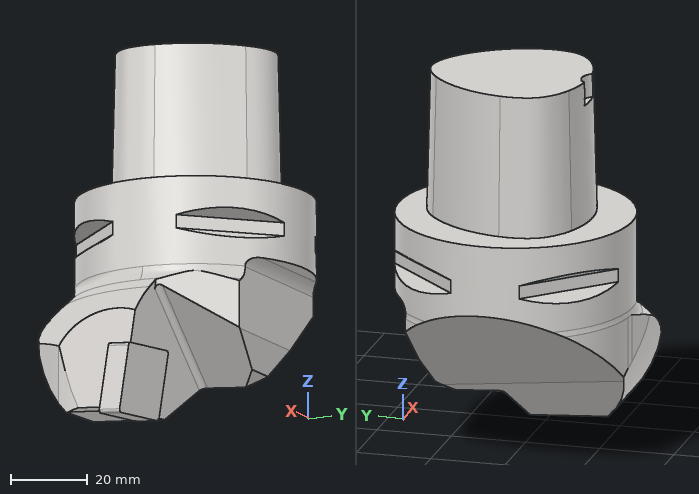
import cadquery as cq
import math


shank_height = 38.0
lobe_mean_radius = 22.1
lobe_height = 1.4
flank_half_angle = 23
flank_centres = (30, 150, 270)
curve_steps = 6
shank_taper = 0.9
key_width = 7.9
key_height = 6.3
key_floor_y = -17.8
key_edge_y = -19.7
key_mouth_y = -22.7

collar_radius = 63.0 / 2
collar_depth = 23.4
notch_z = -12.0
notch_floor_height = 3.5
notch_mouth_height = 7.8
notch_floor_distance = 27.8
notch_angles = (45, 135, 225, 315)

underside_start_z = -19.1
underside_slope = -0.865
facet_rear = (4.5, 21.0, -50.3)
facet_front = (-4.7, -30.3, -42.2)
facet_tip = (20.9, -19.3, -60.6)
back_flat_y = 24.2
back_step_z = -20.7
back_fillet = 2.9
back_draft_start_z = -40.6
back_draft_end = (22.8, -49.4)
back_chamfer_end = (18.6, -52.8)

head_bottom_z = -72.1
neck_radius = 31.6
neck_fillet_middle = (31.7, -25.3)
flare_start = (32.9, -27.2)
flare_end = (35.8, -30.0)
crown_middle = (41.5, -37.1)
crown_end = (44.7, -44.3)
wall_tangent_x = -4.2
wall_blend_end = (-1.4, -31.6)
wall_front = (11.2, -32.9)
wall_front_middle = (20.6, -32.8)
wall_front_end = (29.0, -31.3)
wall_corner = (32.1, -29.5)
wall_side_middle = (37.6, -23.5)
wall_side_end = (42.6, -15.1)
wall_right_x = 46.4
belly_top = (-32.9, -28.7)
belly_middle = (-27.9, -48.3)
belly_end = (-16.0, -63.9)
belly_exit = (-10.3, -67.5)

insert_tip = (45.1, 0.0, -65.0)
insert_angle = 80
insert_edge = 19.1
insert_thickness = 6.3
insert_nose = 0.8
rake_tilt_x = 0.11
rake_tilt_z = 0.09
insert_edge_rise = 0.062
insert_overhang = 0.7
head_corner_chamfer = 0.9

pocket_corner = (7.1, 6.2, -51.6)
pocket_wall_run = (24.5, -1.0, 22.0)
pocket_wall_across = (1.2, 12.0, -1.2)
pocket_root_fillet = 1.5
pocket_side_front = (32.9, 4.9)
pocket_side_rear = (23.5, 24.2)

big = 154.5

rake_normal = cq.Vector(rake_tilt_x, 1, -rake_tilt_z)
lower_edge = cq.Vector(-1, rake_tilt_x + rake_tilt_z * insert_edge_rise, insert_edge_rise)
insert_plane = cq.Plane(origin=insert_tip, xDir=lower_edge, normal=rake_normal)


def half_space(point, normal):
    """Large block on the side of a plane that the normal points to."""
    plane = cq.Plane(origin=point, normal=normal)
    return cq.Workplane(plane).rect(2 * big, 2 * big).extrude(big)


def lobed_point(mean_radius, degrees, z):
    """Point of the three-lobed curve where its outward normal has the given angle."""
    angle = math.radians(degrees)
    reach = mean_radius - lobe_height * math.sin(3 * angle)
    slope = -3 * lobe_height * math.cos(3 * angle)
    x = reach * math.cos(angle) - slope * math.sin(angle)
    y = reach * math.sin(angle) + slope * math.cos(angle)
    return cq.Vector(x, y, z)


def lobed_wire(mean_radius, z):
    """Three-lobed outline with one lobe towards +Y, made of three flanks and three lobes."""
    edges = []
    for flank_centre in flank_centres:
        flank_start = flank_centre - flank_half_angle
        flank_end = flank_centre + flank_half_angle
        lobe_end = flank_start + 360 / len(flank_centres)
        for start, end in ((flank_start, flank_end), (flank_end, lobe_end)):
            angles = [start + (end - start) * i / curve_steps for i in range(curve_steps + 1)]
            points = [lobed_point(mean_radius, angle, z) for angle in angles]
            tangents = [
                cq.Vector(-math.sin(math.radians(angle)), math.cos(math.radians(angle)), 0)
                for angle in (start, end)
            ]
            edges.append(cq.Edge.makeSpline(points, tangents=tangents))
    return cq.Wire.assembleEdges(edges)


def make_shank():
    base = lobed_wire(lobe_mean_radius, 0)
    top = lobed_wire(lobe_mean_radius - shank_taper, shank_height)
    shank = cq.Workplane(cq.Solid.makeLoft([base, top], True))
    half_width = key_width / 2
    key_slot = (
        cq.Workplane().workplane(offset=shank_height - key_height)
        .moveTo(-half_width, key_mouth_y)
        .lineTo(-half_width, key_edge_y)
        .threePointArc((0, key_floor_y), (half_width, key_edge_y))
        .lineTo(half_width, key_mouth_y)
        .close().extrude(key_height)
    )
    return shank.cut(key_slot)


def make_notch(angle):
    """Trapezoidal groove cut along a chord of the collar."""
    depth = collar_radius - notch_floor_distance
    flank = (notch_mouth_height - notch_floor_height) / 2 / depth
    outer_distance = collar_radius + depth
    floor_half = notch_floor_height / 2
    outer_half = floor_half + flank * 2 * depth
    groove = (
        cq.Workplane("XZ")
        .moveTo(notch_floor_distance, notch_z - floor_half)
        .lineTo(outer_distance, notch_z - outer_half)
        .lineTo(outer_distance, notch_z + outer_half)
        .lineTo(notch_floor_distance, notch_z + floor_half)
        .close().extrude(collar_radius, both=True)
    )
    return groove.rotate((0, 0, 0), (0, 0, 1), angle)


def make_collar():
    collar = cq.Workplane().circle(collar_radius).extrude(-collar_depth)
    for angle in notch_angles:
        collar = collar.cut(make_notch(angle))
    return collar


def head_turned_shape():
    """Neck fillet, conical flare and rounded crown, turned about the shank axis."""
    return (
        cq.Workplane("XZ")
        .moveTo(0, -collar_depth)
        .lineTo(collar_radius, -collar_depth)
        .threePointArc(neck_fillet_middle, flare_start)
        .lineTo(*flare_end)
        .threePointArc(crown_middle, crown_end)
        .lineTo(crown_end[0], head_bottom_z)
        .lineTo(0, head_bottom_z)
        .close().revolve(360, (0, 0, 0), (0, 1, 0))
    )


def head_plan_shape():
    """Upright outer walls of the head."""
    neck_left = (-neck_radius, 0)
    neck_front = (wall_tangent_x, -math.sqrt(neck_radius ** 2 - wall_tangent_x ** 2))
    neck_diagonal = neck_radius * math.sqrt(0.5)
    return (
        cq.Workplane()
        .moveTo(*neck_left)
        .threePointArc((-neck_diagonal, -neck_diagonal), neck_front)
        .lineTo(*wall_blend_end)
        .lineTo(*wall_front)
        .threePointArc(wall_front_middle, wall_front_end)
        .lineTo(*wall_corner)
        .threePointArc(wall_side_middle, wall_side_end)
        .lineTo(wall_right_x, 0)
        .lineTo(wall_right_x, neck_radius)
        .lineTo(0, neck_radius)
        .threePointArc((-neck_diagonal, neck_diagonal), neck_left)
        .close().extrude(head_bottom_z)
    )


def head_belly_shape():
    """Rounded front side, straight along X."""
    return (
        cq.Workplane("YZ")
        .moveTo(big, 0)
        .lineTo(belly_top[0], 0)
        .lineTo(*belly_top)
        .threePointArc(belly_middle, belly_end)
        .lineTo(*belly_exit)
        .lineTo(big, belly_exit[1])
        .close().extrude(big, both=True)
    )


def insert_relief_shape():
    """Wedge parallel to the insert sides, set back so that the insert stands proud."""
    angle = math.radians(insert_angle)
    step = cq.Vector(math.cos(angle), math.sin(angle), 0) * big
    setback = insert_overhang * (1 + math.cos(angle)) / math.sin(angle)
    corner = cq.selectors.NearestToPointSelector(
        insert_plane.toWorldCoords((setback, insert_overhang, 0))
    )
    return (
        cq.Workplane(insert_plane)
        .moveTo(setback, insert_overhang)
        .line(big, 0)
        .line(step.x, step.y)
        .line(-big, 0)
        .close().extrude(big, both=True)
        .edges(corner)
        .chamfer(head_corner_chamfer)
    )


def chip_pocket():
    """Two cutters above the rake face: below the sloping wall, and beyond the upright wall."""
    above_rake = half_space(insert_tip, rake_normal)
    wall_normal = cq.Vector(*pocket_wall_run).cross(cq.Vector(*pocket_wall_across))
    below_wall = half_space(pocket_corner, wall_normal * -1)
    side_run_x = pocket_side_front[0] - pocket_side_rear[0]
    side_run_y = pocket_side_rear[1] - pocket_side_front[1]
    beyond_side = half_space((*pocket_side_front, 0), (side_run_y, side_run_x, 0))
    below_collar = half_space((0, 0, -collar_depth), (0, 0, -1))
    lower = above_rake.intersect(below_wall)
    root = cq.selectors.ParallelDirSelector(rake_normal.cross(wall_normal))
    nearest = cq.selectors.NearestToPointSelector(pocket_corner)
    lower = lower.edges(root).edges(nearest).fillet(pocket_root_fillet)
    side = above_rake.intersect(beyond_side).intersect(below_collar)
    return lower, side


def lower_facet():
    """Half-space under the second inclined facet of the underside."""
    rear = cq.Vector(*facet_rear)
    normal = (cq.Vector(*facet_tip) - rear).cross(cq.Vector(*facet_front) - rear)
    return half_space(rear, normal)


def back_relief():
    """Removes the back of the head: filleted step, flat, draft and chamfer."""
    step_start_y = back_flat_y + back_fillet
    arc_offset = back_fillet * (1 - math.sqrt(0.5))
    return (
        cq.Workplane("YZ")
        .moveTo(big, back_step_z)
        .lineTo(step_start_y, back_step_z)
        .threePointArc(
            (back_flat_y + arc_offset, back_step_z - arc_offset),
            (back_flat_y, back_step_z - back_fillet),
        )
        .lineTo(back_flat_y, back_draft_start_z)
        .lineTo(*back_draft_end)
        .lineTo(*back_chamfer_end)
        .lineTo(back_chamfer_end[0], -big)
        .lineTo(big, -big)
        .close().extrude(big, both=True)
    )


def make_head():
    head = head_turned_shape().intersect(head_plan_shape())
    head = head.intersect(head_belly_shape())
    head = head.intersect(insert_relief_shape())
    for pocket in chip_pocket():
        head = head.cut(pocket)
    return head.cut(lower_facet())


def make_insert():
    angle = math.radians(insert_angle)
    slant = (insert_edge * math.cos(angle), insert_edge * math.sin(angle))
    return (
        cq.Workplane(insert_plane)
        .polyline([(0, 0), (insert_edge, 0), (insert_edge + slant[0], slant[1]), slant])
        .close().extrude(-insert_thickness)
        .edges(cq.selectors.ParallelDirSelector(rake_normal))
        .fillet(insert_nose)
    )


def make_holder(insert):
    holder = make_collar().union(make_head()).union(make_shank())
    underside = half_space((-collar_radius, 0, underside_start_z), (underside_slope, 0, -1))
    for cutter in (underside, back_relief(), insert):
        holder = holder.cut(cutter, clean=False)
    return holder


insert = make_insert()
holder = make_holder(insert)
result = cq.Compound.makeCompound([holder.val(), insert.val()])